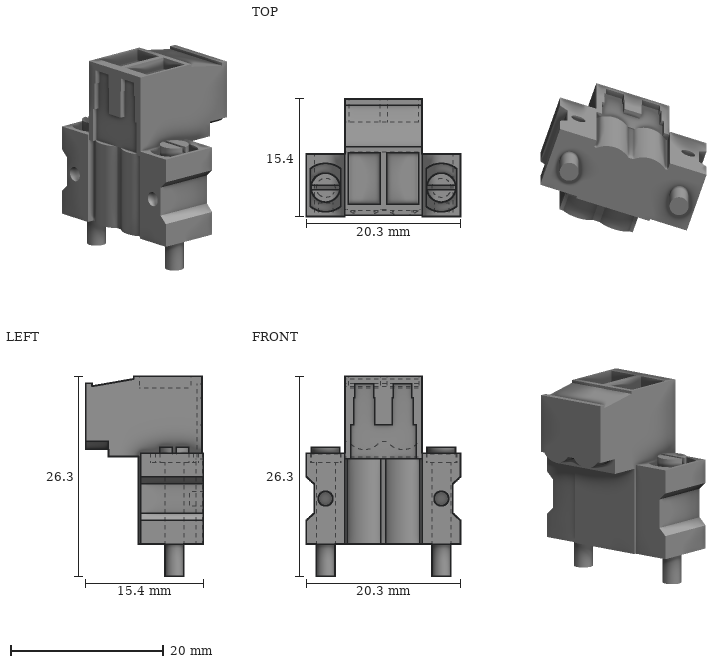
import cadquery as cq
import math

OVERALL_WIDTH = 20.27
OVERALL_HEIGHT = 26.3
OVERALL_DEPTH = 15.45
PITCH = OVERALL_WIDTH / 4
HOUSING_WIDTH = 2 * PITCH
POLE_X = (-PITCH / 2, PITCH / 2)
FLANGE_X = (-1.5 * PITCH, 1.5 * PITCH)
BODY_BOTTOM = 4.23

HOUSING_FRONT = 0.15
PLUG_FRONT = 0.97
PLUG_BACK = 8.52
PLUG_TOP = 15.45
STEP_BOTTOM = 15.72
STEP_BACK = 12.45
OVERHANG_BOTTOM = 17.72
BACK_LIP_TOP = 25.37
BACK_LIP_THICKNESS = 0.87
SLOPE_LOW = 24.98
SLOPE_HIGH = 25.92
PLATEAU_BACK = 9.15

BARREL_CHORD = 4.42
PAD_CHORD = 4.05
PAD_DROP = 1.05

POCKET_WIDTH = 4.23
POCKET_FRONT = 1.63
POCKET_BACK = 8.4
POCKET_DEPTH = 1.52

RECESS_BACK = 0.85
RECESS_LOW_HALF_WIDTH = 4.29
RECESS_LOW_TOP = 19.9
FINGER_INNER_X = 1.15
FINGER_OUTER_X = 3.92
FINGER_SHOULDER = 23.48
TIP_INNER_X = 1.25
TIP_OUTER_X = 3.73
TIP_TOP = 25.3

FLANGE_HEIGHT = 11.95
FLANGE_TOP = BODY_BOTTOM + FLANGE_HEIGHT
FLANGE_MIDDLE = BODY_BOTTOM + FLANGE_HEIGHT / 2
FLANGE_DEPTH = 8.23
NOTCH_DEPTH = 1.03
NOTCH_OUTER_HEIGHT = 5.73
NOTCH_INNER_HEIGHT = 3.85
SIGHT_HOLE_DIAMETER = 1.92
SIGHT_HOLE_DEPTH = 1.85
HEAD_POCKET_DIAMETER = 6.35
HEAD_POCKET_WIDTH = 4.0
HEAD_POCKET_DEPTH = 1.18
HEAD_POCKET_FLOOR = FLANGE_TOP - HEAD_POCKET_DEPTH

SCREW_Y = 3.8
SHANK_DIAMETER = 2.5
HEAD_DIAMETER = 3.8
HEAD_TOP = 16.95
SLOT_WIDTH = 0.55
SLOT_DEPTH = 0.87


def box(x_range, y_range, z_range):
    """Box spanning the given (low, high) limits along each axis."""
    size = [high - low for low, high in (x_range, y_range, z_range)]
    corner = cq.Vector(x_range[0], y_range[0], z_range[0])
    return cq.Workplane(obj=cq.Solid.makeBox(*size, pnt=corner))


def upright_cylinder(x, y, diameter, bottom, top):
    """Vertical cylinder between two heights."""
    return (
        cq.Workplane("XY", origin=(x, y, bottom))
        .circle(diameter / 2)
        .extrude(top - bottom)
    )


def housing_block():
    """Side profile of the housing, extruded across both poles."""
    lip_front = OVERALL_DEPTH - BACK_LIP_THICKNESS
    profile = [
        (PLUG_FRONT, BODY_BOTTOM),
        (PLUG_FRONT, PLUG_TOP),
        (HOUSING_FRONT, PLUG_TOP),
        (HOUSING_FRONT, OVERALL_HEIGHT),
        (PLATEAU_BACK, OVERALL_HEIGHT),
        (PLATEAU_BACK, SLOPE_HIGH),
        (lip_front, SLOPE_LOW),
        (lip_front, BACK_LIP_TOP),
        (OVERALL_DEPTH, BACK_LIP_TOP),
        (OVERALL_DEPTH, OVERHANG_BOTTOM),
        (STEP_BACK, OVERHANG_BOTTOM),
        (STEP_BACK, STEP_BOTTOM),
        (PLUG_BACK, STEP_BOTTOM),
        (PLUG_BACK, BODY_BOTTOM),
    ]
    return (
        cq.Workplane("YZ", origin=(-HOUSING_WIDTH / 2, 0, 0))
        .polyline(profile)
        .close()
        .extrude(HOUSING_WIDTH)
    )


def pole_barrel(x):
    """Rounded front of one pole, bulging from the plug face to the housing front."""
    return (
        cq.Workplane("XY", origin=(x, 0, BODY_BOTTOM))
        .moveTo(-BARREL_CHORD / 2, PLUG_FRONT)
        .threePointArc((0, HOUSING_FRONT), (BARREL_CHORD / 2, PLUG_FRONT))
        .close()
        .extrude(PLUG_TOP - BODY_BOTTOM)
    )


def overhang_pad(x):
    """Rounded pad of one pole under the rear overhang."""
    return (
        cq.Workplane("XZ", origin=(x, OVERALL_DEPTH, 0))
        .moveTo(-PAD_CHORD / 2, OVERHANG_BOTTOM)
        .threePointArc((0, OVERHANG_BOTTOM - PAD_DROP), (PAD_CHORD / 2, OVERHANG_BOTTOM))
        .close()
        .extrude(OVERALL_DEPTH - STEP_BACK)
    )


def top_pocket(x):
    """Rectangular blind pocket in the top of one pole."""
    return box(
        (x - POCKET_WIDTH / 2, x + POCKET_WIDTH / 2),
        (POCKET_FRONT, POCKET_BACK),
        (OVERALL_HEIGHT - POCKET_DEPTH, OVERALL_HEIGHT),
    )


def front_recess():
    """Shallow recess with two stepped fingers, symmetric about the middle."""
    right_half = [
        (0, PLUG_TOP),
        (RECESS_LOW_HALF_WIDTH, PLUG_TOP),
        (RECESS_LOW_HALF_WIDTH, RECESS_LOW_TOP),
        (FINGER_OUTER_X, RECESS_LOW_TOP),
        (FINGER_OUTER_X, FINGER_SHOULDER),
        (TIP_OUTER_X, FINGER_SHOULDER),
        (TIP_OUTER_X, TIP_TOP),
        (TIP_INNER_X, TIP_TOP),
        (TIP_INNER_X, FINGER_SHOULDER),
        (FINGER_INNER_X, FINGER_SHOULDER),
        (FINGER_INNER_X, RECESS_LOW_TOP),
        (0, RECESS_LOW_TOP),
    ]
    return (
        cq.Workplane("XZ", origin=(0, RECESS_BACK, 0))
        .polyline(right_half)
        .mirrorY()
        .extrude(RECESS_BACK)
    )


def make_housing():
    housing = housing_block().cut(front_recess())
    for x in POLE_X:
        housing = housing.union(pole_barrel(x))
        housing = housing.union(overhang_pad(x))
        housing = housing.cut(top_pocket(x))
    return housing


def head_pocket():
    """Round pocket with flattened sides that takes the screw head."""
    round_pocket = upright_cylinder(0, SCREW_Y, HEAD_POCKET_DIAMETER, HEAD_POCKET_FLOOR, FLANGE_TOP)
    width_limit = box(
        (-HEAD_POCKET_WIDTH / 2, HEAD_POCKET_WIDTH / 2),
        (0, FLANGE_DEPTH),
        (HEAD_POCKET_FLOOR, FLANGE_TOP),
    )
    return round_pocket.intersect(width_limit)


def make_flange(x):
    """Screw flange with a dovetail notch in its outer side."""
    outward = math.copysign(1, x)
    inner_x = -outward * PITCH / 2
    outer_x = outward * PITCH / 2
    notch_x = outer_x - outward * NOTCH_DEPTH
    outline = [
        (inner_x, BODY_BOTTOM),
        (outer_x, BODY_BOTTOM),
        (outer_x, FLANGE_MIDDLE - NOTCH_OUTER_HEIGHT / 2),
        (notch_x, FLANGE_MIDDLE - NOTCH_INNER_HEIGHT / 2),
        (notch_x, FLANGE_MIDDLE + NOTCH_INNER_HEIGHT / 2),
        (outer_x, FLANGE_MIDDLE + NOTCH_OUTER_HEIGHT / 2),
        (outer_x, FLANGE_TOP),
        (inner_x, FLANGE_TOP),
    ]
    block = cq.Workplane("XZ").polyline(outline).close().extrude(-FLANGE_DEPTH)
    sight_hole = (
        cq.Workplane("XZ", origin=(0, 0, FLANGE_MIDDLE))
        .circle(SIGHT_HOLE_DIAMETER / 2)
        .extrude(-SIGHT_HOLE_DEPTH)
    )
    shank_bore = upright_cylinder(0, SCREW_Y, SHANK_DIAMETER, BODY_BOTTOM, FLANGE_TOP)
    flange = block.cut(sight_hole).cut(shank_bore).cut(head_pocket())
    return flange.translate((x, 0, 0))


def make_screw(x):
    """Slotted screw whose head rests on the floor of the flange pocket."""
    shank = upright_cylinder(x, SCREW_Y, SHANK_DIAMETER, 0, HEAD_POCKET_FLOOR)
    head = upright_cylinder(x, SCREW_Y, HEAD_DIAMETER, HEAD_POCKET_FLOOR, HEAD_TOP)
    slot = box(
        (x - HEAD_DIAMETER / 2, x + HEAD_DIAMETER / 2),
        (SCREW_Y - SLOT_WIDTH / 2, SCREW_Y + SLOT_WIDTH / 2),
        (HEAD_TOP - SLOT_DEPTH, HEAD_TOP),
    )
    return shank.union(head).cut(slot)


housing = make_housing()
flanges = [make_flange(x).val() for x in FLANGE_X]
screws = [make_screw(x).val() for x in FLANGE_X]

result = cq.Compound.makeCompound([housing.val(), *flanges, *screws])